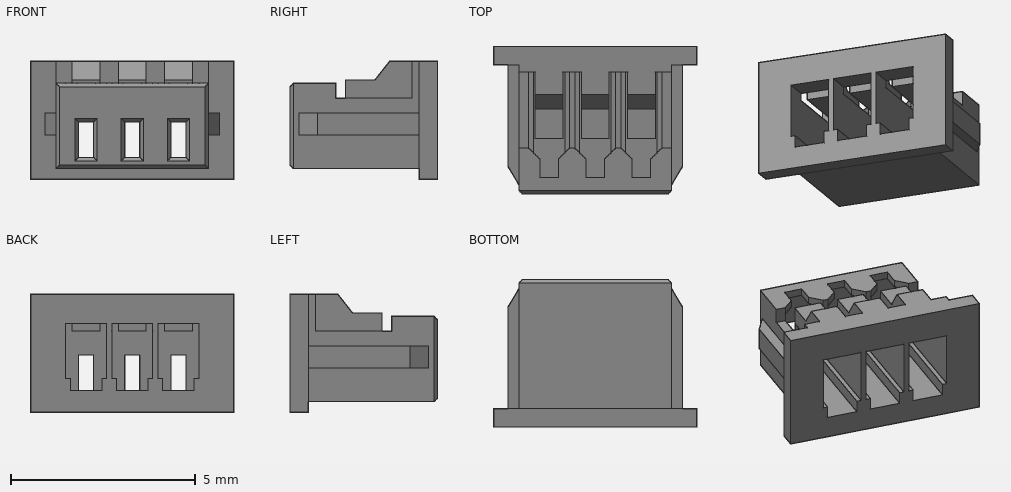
import cadquery as cq


width = 5.5
depth = 4.0
height = 3.2
rear_y = depth / 2
front_y = -depth / 2
top_z = height / 2
bottom_z = -height / 2

flange_thickness = 0.5
body_width = 4.125
body_bottom_z = bottom_z + 0.29
deck_z = top_z - 0.6
front_chamfer = 0.1

bridge_front_y = rear_y - 0.7
recess_front_y = rear_y - 2.75
recess_floor_z = top_z - 1.0

rail_reach = 0.295
rail_bottom_z = bottom_z + 1.2
rail_height = 0.6
rail_length = 3.25
rail_taper = 0.5

pitch = 1.25
contact_count = 3
contact_xs = [(i - (contact_count - 1) / 2) * pitch for i in range(contact_count)]

finger_width = 0.75
finger_slope_start_y = rear_y - 1.3
finger_slope_end_y = rear_y - 1.7
finger_tip_y = rear_y - 2.495
finger_tip_z = top_z - 0.51

front_wall = 0.3
cavity_front_y = front_y + front_wall
cavity_width = 1.1
cavity_top_z = top_z - 0.8
channel_width = 0.85
channel_floor_z = bottom_z + 0.6
ledge_z = bottom_z + 0.925

throat_width = 0.5
throat_front_y = front_y + 0.45
throat_taper = (cavity_width - throat_width) / 2

window_width = 0.4
window_height = 0.95
window_flare = 0.1


def block(x_center, x_size, y_front, y_back, z_low, z_high):
    """Box centred on x_center that spans the given Y and Z limits."""
    box = cq.Workplane("XY").box(x_size, y_back - y_front, z_high - z_low, centered=(True, False, False))
    return box.translate((x_center, y_front, z_low))


def make_shell():
    """Flange, chamfered body and bridge, with the deck recessed in front of the bridge."""
    body = block(0, body_width, front_y, rear_y, body_bottom_z, deck_z)
    body = body.faces("<Y").edges().chamfer(front_chamfer)
    recess = block(0, body_width, recess_front_y, bridge_front_y, recess_floor_z, top_z)
    flange = block(0, width, rear_y - flange_thickness, rear_y, bottom_z, top_z)
    bridge = block(0, body_width, bridge_front_y, rear_y, recess_floor_z, top_z)
    return body.cut(recess).union(flange).union(bridge)


def make_rails():
    """Rails on both sides of the body, tapered to nothing at the front."""
    outer_x = body_width / 2 + rail_reach
    tip_y = rear_y - flange_thickness - rail_length
    shoulder_y = tip_y + rail_taper
    outline = [
        (-body_width / 2, tip_y),
        (body_width / 2, tip_y),
        (outer_x, shoulder_y),
        (outer_x, rear_y),
        (-outer_x, rear_y),
        (-outer_x, shoulder_y),
    ]
    rails = cq.Workplane("XY").polyline(outline).close().extrude(rail_height)
    return rails.translate((0, 0, rail_bottom_z))


def make_cavity(x):
    """Stepped contact cavity, open at the rear."""
    upper = block(x, cavity_width, cavity_front_y, rear_y, ledge_z, cavity_top_z)
    lower = block(x, channel_width, cavity_front_y, rear_y, channel_floor_z, ledge_z)
    return upper.union(lower)


def make_throat(x):
    """Opening through the front deck, narrowing toward the mating face."""
    half_mouth = cavity_width / 2
    half_throat = throat_width / 2
    taper_end_y = recess_front_y - throat_taper
    outline = [
        (x - half_mouth, bridge_front_y),
        (x - half_mouth, recess_front_y),
        (x - half_throat, taper_end_y),
        (x - half_throat, throat_front_y),
        (x + half_throat, throat_front_y),
        (x + half_throat, taper_end_y),
        (x + half_mouth, recess_front_y),
        (x + half_mouth, bridge_front_y),
    ]
    throat = cq.Workplane("XY").polyline(outline).close().extrude(deck_z - ledge_z)
    return throat.translate((0, 0, ledge_z))


def make_window(x):
    """Window through the front wall, flush with the channel floor, with a flared mouth."""
    window = block(x, window_width, front_y, cavity_front_y, channel_floor_z, channel_floor_z + window_height)
    flare = (
        cq.Workplane("XZ", origin=(x, front_y, channel_floor_z + window_height / 2))
        .rect(window_width + 2 * window_flare, window_height + 2 * window_flare)
        .workplane(offset=-window_flare)
        .rect(window_width, window_height)
        .loft(ruled=True)
    )
    return window.union(flare)


def make_finger(x):
    """Latch finger that reaches forward from the bridge and steps down to a flat tip."""
    outline = [
        (bridge_front_y, recess_floor_z),
        (bridge_front_y, top_z),
        (finger_slope_start_y, top_z),
        (finger_slope_end_y, finger_tip_z),
        (finger_tip_y, finger_tip_z),
        (finger_tip_y, recess_floor_z),
    ]
    finger = cq.Workplane("YZ").polyline(outline).close().extrude(finger_width / 2, both=True)
    return finger.translate((x, 0, 0))


result = make_shell().union(make_rails())
for contact_x in contact_xs:
    result = result.cut(make_cavity(contact_x))
    result = result.cut(make_throat(contact_x))
    result = result.cut(make_window(contact_x))
    result = result.union(make_finger(contact_x))